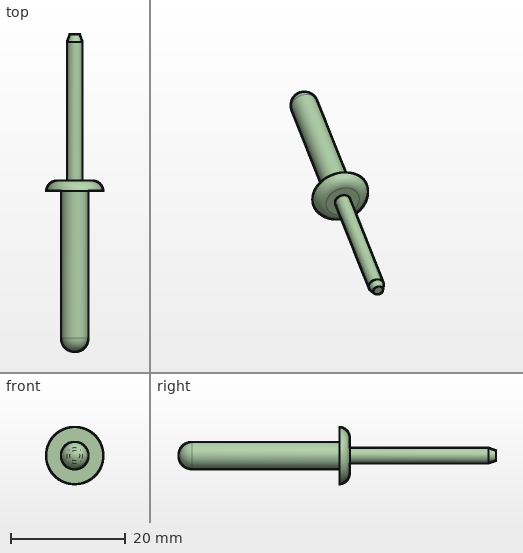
import cadquery as cq
import math

total_length = 55.5
flange_diameter = 10.05
flange_top_diameter = 6.0
flange_thickness = 1.85
sleeve_diameter = 4.85
pin_diameter = 2.8
pin_length = 25.55
tip_length = 1.4
tip_diameter = 1.8

flange_radius = flange_diameter / 2
flange_top_radius = flange_top_diameter / 2
sleeve_radius = sleeve_diameter / 2
pin_radius = pin_diameter / 2
tip_radius = tip_diameter / 2

pin_end = flange_thickness + pin_length
sleeve_end = pin_end - total_length
dome_start = sleeve_end + sleeve_radius
dome_mid_offset = sleeve_radius * math.sqrt(0.5)

edge_width = flange_radius - flange_top_radius
edge_radius = (edge_width**2 + flange_thickness**2) / (2 * flange_thickness)
edge_half_angle = math.asin(edge_width / edge_radius) / 2
edge_mid = (
    flange_top_radius + edge_radius * math.sin(edge_half_angle),
    flange_thickness - edge_radius * (1 - math.cos(edge_half_angle)),
)

half_profile = (
    cq.Workplane("XY")
    .moveTo(0, sleeve_end)
    .threePointArc((dome_mid_offset, dome_start - dome_mid_offset), (sleeve_radius, dome_start))
    .lineTo(sleeve_radius, 0)
    .lineTo(flange_radius, 0)
    .threePointArc(edge_mid, (flange_top_radius, flange_thickness))
    .lineTo(pin_radius, flange_thickness)
    .lineTo(pin_radius, pin_end - tip_length)
    .lineTo(tip_radius, pin_end)
    .lineTo(0, pin_end)
    .close()
)

result = half_profile.revolve(360, (0, 0, 0), (0, 1, 0))